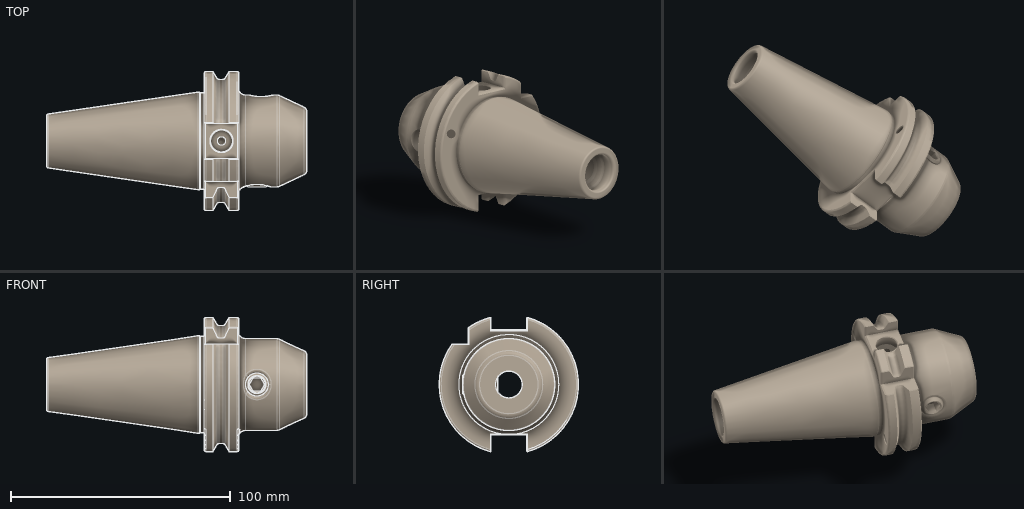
import cadquery as cq
import math

LENGTH = 118.4
GAUGE_X = 68.8
GAUGE_LAND = 0.7
FLANGE_START = 71.6
FLANGE_END = 87.5
GROOVE_X = 79.3
CONE_START = 105.4
SCREW_X = 95.7

GAUGE_RADIUS = 22.3
TAPER_END_RADIUS = GAUGE_RADIUS - GAUGE_X * 7 / 48
TAPER_END_FILLET = 1.0
RELIEF_DEPTH = 0.2
RELIEF_CHAMFER_LENGTH = 0.5

FLANGE_RADIUS = 31.7
FLANGE_FILLET = 1.0
GROOVE_RADIUS = 28.1
GROOVE_WIDTH = 7.3
GROOVE_HALF_ANGLE = math.radians(30)
GROOVE_FILLET = 1.2

NOSE_RADIUS = 21.0
NOSE_END_RADIUS = 14.8
NOSE_ROOT_RADIUS = 3.5
NOSE_ROOT_LENGTH = 3.1
NOSE_FILLET = 2.4

COUNTERBORE_RADIUS = 8.5
COUNTERBORE_DEPTH = 5.9
MOUTH_FILLET = 1.0
SHOULDER_RADIUS = 7.8
SHOULDER_END = 6.9
THROAT_RADIUS = 7.0
THROAT_START = 9.0
THROAT_END = 10.2
TOOL_RADIUS = 6.0

SLOT_WIDTH = 16.1
TOP_SLOT_Z = 25.0
BOTTOM_SLOT_Z = 22.9
NOTCH_EDGE = 18.5
OUTSIDE_Z = FLANGE_RADIUS + 1.2
FACE_CHAMFER_LENGTH = 0.7
FLOOR_CHAMFER = 0.7
WALL_CHAMFER = 0.4

RECESS_RADIUS = 5.0
RECESS_DEPTH = 4.6
RECESS_CHAMFER = 0.4
PILOT_RADIUS = 1.9
PILOT_DEPTH = 3.5
PILOT_TIP_ANGLE = math.radians(30)

COOLANT_RADIUS = 2.0
COOLANT_CIRCLE_RADIUS = 27.0
COOLANT_ANGLE = 20
COOLANT_TILT = math.radians(45)
COOLANT_DEPTH = 14.2

SCREW_RADIUS = 5.2
SCREW_INNER_Y = 5.0
SCREW_LENGTH = 16.0
SCREW_CHAMFER = 1.1
SCREW_MOUTH_FILLET = 1.3
HEX_ACROSS_FLATS = 6.0
HEX_DEPTH = 5.9
HEX_MOUTH_RADIUS = 3.8

BALANCE_X = 97.6
BALANCE_RADIUS = 5.5
BALANCE_DEPTH = 7.1

PICK_MARGIN = 0.1


def turned_body():
    """Outer shape of the holder, revolved about X, without the flange groove."""
    land_end = GAUGE_X + GAUGE_LAND
    root_end = FLANGE_END + NOSE_ROOT_LENGTH
    root_centre_r = NOSE_RADIUS + NOSE_ROOT_RADIUS

    def root_radius(x):
        return root_centre_r - math.sqrt(NOSE_ROOT_RADIUS**2 - (root_end - x) ** 2)

    root_mid = FLANGE_END + NOSE_ROOT_LENGTH / 2
    body = (
        cq.Workplane("XY")
        .moveTo(0, 0)
        .lineTo(0, TAPER_END_RADIUS)
        .lineTo(GAUGE_X, GAUGE_RADIUS)
        .lineTo(land_end, GAUGE_RADIUS)
        .lineTo(land_end + RELIEF_CHAMFER_LENGTH, GAUGE_RADIUS - RELIEF_DEPTH)
        .lineTo(FLANGE_START, GAUGE_RADIUS - RELIEF_DEPTH)
        .lineTo(FLANGE_START, FLANGE_RADIUS)
        .lineTo(FLANGE_END, FLANGE_RADIUS)
        .lineTo(FLANGE_END, root_radius(FLANGE_END))
        .threePointArc((root_mid, root_radius(root_mid)), (root_end, NOSE_RADIUS))
        .lineTo(CONE_START, NOSE_RADIUS)
        .lineTo(LENGTH, NOSE_END_RADIUS)
        .lineTo(LENGTH, 0)
        .close()
        .revolve(360, (0, 0, 0), (1, 0, 0))
    )
    body = body.faces("<X").edges().fillet(TAPER_END_FILLET)
    body = body.edges(cq.selectors.RadiusNthSelector(-1)).fillet(FLANGE_FILLET)
    cone_edges = cq.selectors.BoxSelector(
        (CONE_START - PICK_MARGIN, -FLANGE_RADIUS, -FLANGE_RADIUS),
        (LENGTH + PICK_MARGIN, FLANGE_RADIUS, FLANGE_RADIUS),
    )
    return body.edges(cone_edges).edges("%CIRCLE").fillet(NOSE_FILLET)


def flange_groove():
    """Ring with a V section that cuts the gripper groove."""
    top_half = GROOVE_WIDTH / 2
    bottom_half = top_half - (FLANGE_RADIUS - GROOVE_RADIUS) * math.tan(GROOVE_HALF_ANGLE)
    ring = (
        cq.Workplane("XY")
        .moveTo(GROOVE_X - bottom_half, GROOVE_RADIUS)
        .lineTo(GROOVE_X + bottom_half, GROOVE_RADIUS)
        .lineTo(GROOVE_X + top_half, FLANGE_RADIUS)
        .lineTo(GROOVE_X - top_half, FLANGE_RADIUS)
        .close()
        .revolve(360, (0, 0, 0), (1, 0, 0))
    )
    return ring.edges(cq.selectors.RadiusNthSelector(0)).fillet(GROOVE_FILLET)


def bore():
    """Stepped bore along the whole axis."""
    return (
        cq.Workplane("XY")
        .moveTo(0, 0)
        .lineTo(0, COUNTERBORE_RADIUS + MOUTH_FILLET)
        .radiusArc((MOUTH_FILLET, COUNTERBORE_RADIUS), -MOUTH_FILLET)
        .lineTo(COUNTERBORE_DEPTH, COUNTERBORE_RADIUS)
        .lineTo(SHOULDER_END, SHOULDER_RADIUS)
        .lineTo(THROAT_START, THROAT_RADIUS)
        .lineTo(THROAT_END, TOOL_RADIUS)
        .lineTo(LENGTH, TOOL_RADIUS)
        .lineTo(LENGTH, 0)
        .close()
        .revolve(360, (0, 0, 0), (1, 0, 0))
    )


def flange_cutter(outline, face_outline):
    """Prism along X through the flange, flared from outline to face_outline at both flange faces."""

    def section(points, x):
        return cq.Wire.makePolygon([cq.Vector(x, y, z) for y, z in points], close=True)

    inner_start = FLANGE_START + FACE_CHAMFER_LENGTH
    inner_end = FLANGE_END - FACE_CHAMFER_LENGTH
    front = cq.Solid.makeLoft([section(face_outline, FLANGE_START), section(outline, inner_start)], True)
    middle = cq.Solid.makeLoft([section(outline, inner_start), section(outline, inner_end)], True)
    back = cq.Solid.makeLoft([section(outline, inner_end), section(face_outline, FLANGE_END)], True)
    return [front, middle, back]


def slot_outline(half_width, floor_z):
    """Slot section in (y, z) whose walls open at 45 degrees next to the flange rim."""
    rim_z = math.sqrt(FLANGE_RADIUS**2 - (half_width + WALL_CHAMFER) ** 2)
    flare_z = rim_z - WALL_CHAMFER
    top_half = half_width + OUTSIDE_Z - flare_z
    right_side = [(half_width, floor_z), (half_width, flare_z), (top_half, OUTSIDE_Z)]
    left_side = [(-y, z) for y, z in reversed(right_side)]
    return right_side + left_side


def notch_outline(edge):
    """Corner notch section in (y, z), symmetric about the 135 degree diagonal, with flared ends."""
    rim = math.sqrt(FLANGE_RADIUS**2 - (edge - WALL_CHAMFER) ** 2)
    flare = rim - WALL_CHAMFER
    outside_edge = edge - (OUTSIDE_Z - flare)
    wall = [(-edge, edge), (-edge, flare), (-outside_edge, OUTSIDE_Z)]
    floor = [(-OUTSIDE_Z, outside_edge), (-flare, edge)]
    return wall + [(-OUTSIDE_Z, OUTSIDE_Z)] + floor


def flange_cutouts():
    """Two drive slots and the corner notch."""
    half = SLOT_WIDTH / 2
    top_slot = flange_cutter(
        slot_outline(half, TOP_SLOT_Z), slot_outline(half + WALL_CHAMFER, TOP_SLOT_Z - FLOOR_CHAMFER)
    )
    bottom_slot = flange_cutter(
        slot_outline(half, BOTTOM_SLOT_Z), slot_outline(half + WALL_CHAMFER, BOTTOM_SLOT_Z - WALL_CHAMFER)
    )
    bottom_slot = [part.rotate(cq.Vector(0, 0, 0), cq.Vector(1, 0, 0), 180) for part in bottom_slot]
    notch = flange_cutter(notch_outline(NOTCH_EDGE), notch_outline(NOTCH_EDGE - WALL_CHAMFER))
    return top_slot + bottom_slot + notch


def slot_recess():
    """Round recess with a chamfered rim and a drilled pilot below the top slot."""
    floor_z = TOP_SLOT_Z - RECESS_DEPTH
    tip_length = PILOT_RADIUS * math.tan(PILOT_TIP_ANGLE)
    return (
        cq.Workplane("XZ")
        .moveTo(0, TOP_SLOT_Z)
        .lineTo(RECESS_RADIUS + RECESS_CHAMFER, TOP_SLOT_Z)
        .lineTo(RECESS_RADIUS, TOP_SLOT_Z - RECESS_CHAMFER)
        .lineTo(RECESS_RADIUS, floor_z)
        .lineTo(PILOT_RADIUS, floor_z)
        .lineTo(PILOT_RADIUS, floor_z - PILOT_DEPTH)
        .lineTo(0, floor_z - PILOT_DEPTH - tip_length)
        .close()
        .revolve(360, (0, 0, 0), (0, 1, 0))
        .translate(((FLANGE_START + FLANGE_END) / 2, 0, 0))
    )


def coolant_hole(turn):
    """Blind hole from the flange face, inclined towards the axis."""
    direction = cq.Vector(math.cos(COOLANT_TILT), -math.sin(COOLANT_TILT), 0)
    lead_in = 2 * COOLANT_RADIUS
    start = cq.Vector(FLANGE_START, COOLANT_CIRCLE_RADIUS, 0) - direction * lead_in
    drill = cq.Solid.makeCylinder(COOLANT_RADIUS, COOLANT_DEPTH + lead_in, start, direction)
    return drill.rotate(cq.Vector(0, 0, 0), cq.Vector(1, 0, 0), turn)


def cut_screw_hole(holder):
    """Radial hole for the clamping screw, with a rounded mouth on the nose."""
    hole = cq.Workplane("XZ", origin=(SCREW_X, 0, 0)).circle(SCREW_RADIUS).extrude(NOSE_RADIUS + 1.2)
    reach = SCREW_RADIUS + PICK_MARGIN
    mouth = cq.selectors.BoxSelector(
        (SCREW_X - reach, -NOSE_RADIUS - PICK_MARGIN, -reach),
        (SCREW_X + reach, -NOSE_RADIUS / 2, reach),
        boundingbox=True,
    )
    return holder.cut(hole).edges(mouth).fillet(SCREW_MOUTH_FILLET)


def balance_hole():
    """Blind hole in the nose, opposite the clamping screw."""
    return cq.Workplane("XZ", origin=(BALANCE_X, NOSE_RADIUS, 0)).circle(BALANCE_RADIUS).extrude(BALANCE_DEPTH)


def make_holder():
    """Tool holder with all its cuts."""
    holder = turned_body().cut(flange_groove()).cut(bore())
    for cutout in flange_cutouts():
        holder = holder.cut(cq.Workplane(obj=cutout))
    holder = holder.cut(slot_recess())
    for turn in (COOLANT_ANGLE, COOLANT_ANGLE + 180):
        holder = holder.cut(cq.Workplane(obj=coolant_hole(turn)))
    return cut_screw_hole(holder).cut(balance_hole())


def make_screw():
    """Clamping screw along Y with a chamfered head and a countersunk hexagon socket."""
    head_y = -SCREW_INNER_Y - SCREW_LENGTH
    blank = (
        cq.Workplane("XZ", origin=(SCREW_X, -SCREW_INNER_Y, 0)).circle(SCREW_RADIUS).extrude(SCREW_LENGTH)
    )
    hex_across_corners = HEX_ACROSS_FLATS / math.cos(math.pi / 6)
    socket = cq.Workplane("XZ", origin=(SCREW_X, head_y, 0)).polygon(6, hex_across_corners).extrude(-HEX_DEPTH)
    mouth = cq.Solid.makeCone(
        HEX_MOUTH_RADIUS,
        HEX_ACROSS_FLATS / 2,
        HEX_MOUTH_RADIUS - HEX_ACROSS_FLATS / 2,
        cq.Vector(SCREW_X, head_y, 0),
        cq.Vector(0, 1, 0),
    )
    return blank.faces("<Y").edges().chamfer(SCREW_CHAMFER).cut(socket).cut(cq.Workplane(obj=mouth))


holder = make_holder()
screw = make_screw()
result = cq.Compound.makeCompound([holder.val(), screw.val()])